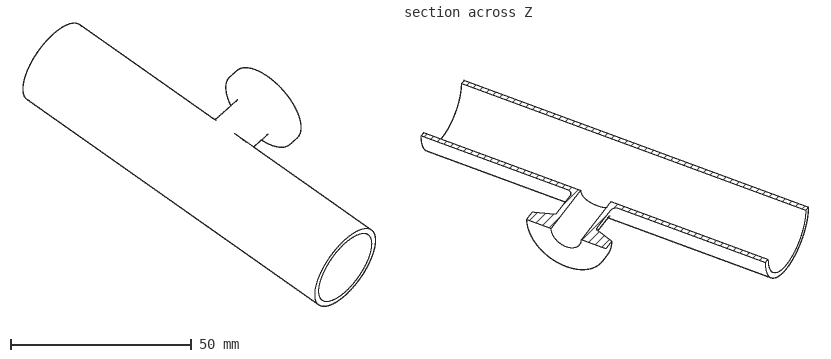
import cadquery as cq
import math

TUBE_LENGTH = 108.0
TUBE_OD = 25.4
TUBE_BORE = 22.1

BRANCH_OD = 12.7
BRANCH_BORE = 9.4
WELD_RADIUS = 1.6

OVERALL_Y = 41.2
FACE_Y = OVERALL_Y - TUBE_OD / 2
FLANGE_OD = 25.0
RIM_WIDTH = 3.6
BACK_ANGLE = 20.0
RIM_ROUND = 0.3
NECK_ROUND = 0.5


def cylinder_along_x(diameter):
    """Solid round bar on the tube axis, as long as the tube."""
    return cq.Workplane("YZ").circle(diameter / 2).extrude(TUBE_LENGTH / 2, both=True)


def cylinder_along_y(diameter, length):
    """Solid round bar on the branch axis, from the tube axis towards +Y."""
    return cq.Workplane("XZ").circle(diameter / 2).extrude(-length)


def edges_between_y(start_y, end_y, half_width):
    """Selector for edges around the branch axis lying wholly between two Y positions."""
    return cq.selectors.BoxSelector(
        (-half_width, start_y, -half_width),
        (half_width, end_y, half_width),
        boundingbox=True,
    )


def branch_with_flange():
    """Solid branch ending in a clamp flange with a conical back and rounded edges."""
    neck_radius = BRANCH_OD / 2
    rim_radius = FLANGE_OD / 2
    cone_length = (rim_radius - neck_radius) * math.tan(math.radians(BACK_ANGLE))
    rim_back_y = FACE_Y - RIM_WIDTH
    neck_end_y = rim_back_y - cone_length

    body = (
        cq.Workplane("XY")
        .lineTo(neck_radius, 0)
        .lineTo(neck_radius, neck_end_y)
        .lineTo(rim_radius, rim_back_y)
        .lineTo(rim_radius, FACE_Y)
        .lineTo(0, FACE_Y)
        .close()
        .revolve(360, (0, 0, 0), (0, 1, 0))
    )
    neck_edge = edges_between_y(neck_end_y - NECK_ROUND, neck_end_y + NECK_ROUND, rim_radius)
    body = body.edges(cq.selectors.RadiusNthSelector(-1)).fillet(RIM_ROUND)
    return body.edges(neck_edge).fillet(NECK_ROUND)


def solid_tee():
    """Tube and branch without bores, blended where they meet."""
    body = cylinder_along_x(TUBE_OD).union(branch_with_flange())
    junction = edges_between_y(0, TUBE_OD / 2 + WELD_RADIUS, BRANCH_OD)
    return body.edges(junction).fillet(WELD_RADIUS)


result = (
    solid_tee()
    .cut(cylinder_along_x(TUBE_BORE))
    .cut(cylinder_along_y(BRANCH_BORE, FACE_Y))
)